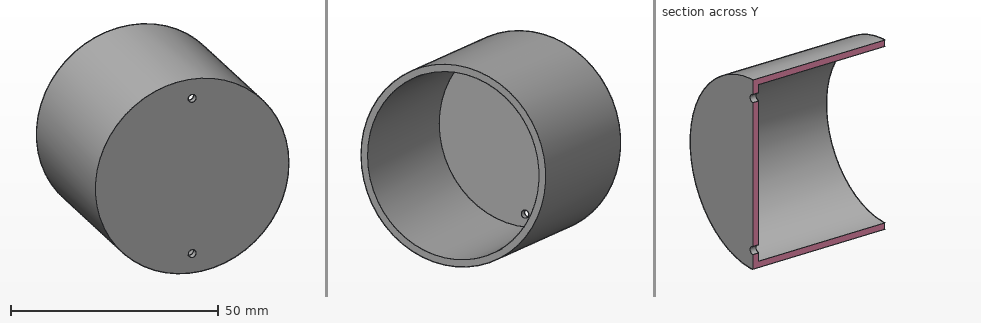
import cadquery as cq

outer_diameter = 50.0
inner_diameter = 46.4
length = 40.0
hole_diameter = 2.0
hole_spacing = 40.0

wall = (outer_diameter - inner_diameter) / 2
floor_thickness = wall
cavity_depth = length - floor_thickness


def cylinder_along_x(diameter, height):
    """Cylinder centred on the X axis, running from the open end at X = 0."""
    return cq.Workplane("YZ").circle(diameter / 2).extrude(height)


cup = cylinder_along_x(outer_diameter, length).cut(cylinder_along_x(inner_diameter, cavity_depth))

holes = (
    cq.Workplane("YZ")
    .pushPoints([(0, hole_spacing / 2), (0, -hole_spacing / 2)])
    .circle(hole_diameter / 2)
    .extrude(length)
)

result = cup.cut(holes)